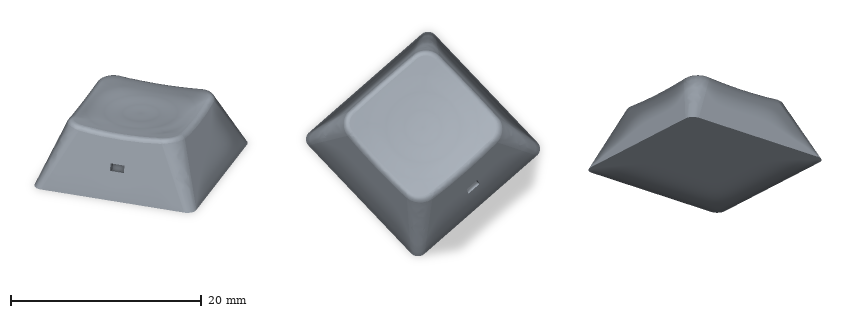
import cadquery as cq
import math

BASE_SIDE = 18.0
BASE_CORNER_RADIUS = 1.0
APEX_HEIGHT = 7.0
APEX_SIDE = 12.5
APEX_CORNER_RADIUS = 2.0

DISH_RADIUS = 40.0
DISH_BOTTOM_HEIGHT = 6.0
RIM_FILLET_RADIUS = 0.6

POCKET_WIDTH = 1.55
POCKET_HEIGHT = 0.8
POCKET_DEPTH = 0.8
POCKET_CENTER_X = 0.08
POCKET_CENTER_Z = 3.26

WALL_INSET = (BASE_SIDE - APEX_SIDE) / 2
WALL_INSET_PER_HEIGHT = WALL_INSET / APEX_HEIGHT


def rounded_square(side, corner_radius):
    return cq.Sketch().rect(side, side).vertices().fillet(corner_radius)


def tapered_body():
    base = rounded_square(BASE_SIDE, BASE_CORNER_RADIUS)
    apex = rounded_square(APEX_SIDE, APEX_CORNER_RADIUS).moved(cq.Location(cq.Vector(0, 0, APEX_HEIGHT)))
    return cq.Workplane("XY").placeSketch(base, apex).loft(ruled=True)


def dish_top(body):
    sphere_center_z = DISH_BOTTOM_HEIGHT + DISH_RADIUS
    dish = cq.Workplane("XY").sphere(DISH_RADIUS).translate((0, 0, sphere_center_z))
    return body.cut(dish).faces("%SPHERE").edges().fillet(RIM_FILLET_RADIUS)


def front_pocket():
    """Box centred on the front wall, reaching POCKET_DEPTH inside it."""
    wall_y = -BASE_SIDE / 2 + WALL_INSET_PER_HEIGHT * POCKET_CENTER_Z
    wall_lean = math.degrees(math.atan(WALL_INSET_PER_HEIGHT))
    return (
        cq.Workplane("XY")
        .box(POCKET_WIDTH, 2 * POCKET_DEPTH, POCKET_HEIGHT)
        .rotate((0, 0, 0), (1, 0, 0), -wall_lean)
        .translate((POCKET_CENTER_X, wall_y, POCKET_CENTER_Z))
    )


result = dish_top(tapered_body()).cut(front_pocket())